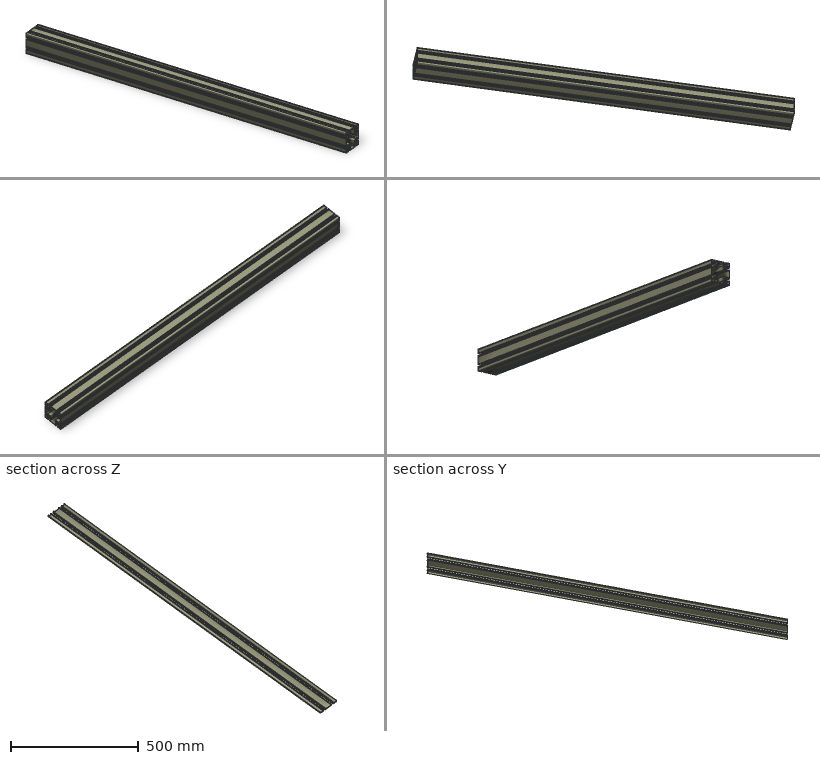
import cadquery as cq

LENGTH = 1500.0
SIDE = 90.0
HALF = SIDE / 2
OUTER_RADIUS = 2.5
WALL = 1.4

SLOT_OFFSET = SIDE / 4
SLOT_OPENING = 8.2
LIP_CHAMFER = 0.45
LIP_THICKNESS = 4.45
SLOT_INNER_WIDTH = 15.0
SLOT_DEPTH = 14.0

BORE_DIAMETER = 8.0

CHAMBER_SIZE = 12.1
CHAMBER_RADIUS = 3.5

CAVITY_ARM_WIDTH = SIDE - 2 * (SLOT_OFFSET + SLOT_INNER_WIDTH / 2 + WALL)
CAVITY_SPAN = SIDE - 2 * WALL
CAVITY_RADIUS = 1.5


def extrude_along_x(section):
    """Extrude a YZ section over the full length, centred on the origin."""
    return section.extrude(LENGTH / 2, both=True)


def rectangular_bar(width, height):
    return extrude_along_x(cq.Workplane("YZ").rect(width, height))


def four_corner_points(offset):
    return [(y, z) for y in (-offset, offset) for z in (-offset, offset)]


def outer_bar():
    return rectangular_bar(SIDE, SIDE).edges("|X").fillet(OUTER_RADIUS)


def central_cavity():
    upright = rectangular_bar(CAVITY_ARM_WIDTH, CAVITY_SPAN)
    crosswise = rectangular_bar(CAVITY_SPAN, CAVITY_ARM_WIDTH)
    return upright.union(crosswise).edges("|X").fillet(CAVITY_RADIUS)


def top_slot():
    """T-slot open to +Z, centred on Y = 0, with lips chamfered outside and inside."""
    throat = SLOT_OPENING / 2
    mouth = throat + LIP_CHAMFER
    inner = SLOT_INNER_WIDTH / 2
    half_outline = [
        (mouth, HALF),
        (throat, HALF - LIP_CHAMFER),
        (throat, HALF - LIP_THICKNESS + LIP_CHAMFER),
        (mouth, HALF - LIP_THICKNESS),
        (inner, HALF - LIP_THICKNESS),
        (inner, HALF - SLOT_DEPTH),
    ]
    mirrored_half = [(-y, z) for y, z in reversed(half_outline)]
    return extrude_along_x(cq.Workplane("YZ").polyline(half_outline + mirrored_half).close())


def cut_slots(body):
    slot = top_slot()
    for angle in (0, 90, 180, 270):
        for offset in (-SLOT_OFFSET, SLOT_OFFSET):
            placed_slot = slot.translate((0, offset, 0)).rotate((0, 0, 0), (1, 0, 0), angle)
            body = body.cut(placed_slot)
    return body


def corner_chambers():
    offset = HALF - WALL - CHAMBER_SIZE / 2
    section = cq.Workplane("YZ").pushPoints(four_corner_points(offset)).rect(CHAMBER_SIZE, CHAMBER_SIZE)
    return extrude_along_x(section).edges("|X").fillet(CHAMBER_RADIUS)


def core_bores():
    section = cq.Workplane("YZ").pushPoints(four_corner_points(SLOT_OFFSET)).circle(BORE_DIAMETER / 2)
    return extrude_along_x(section)


result = cut_slots(outer_bar().cut(central_cavity()))
result = result.cut(corner_chambers()).cut(core_bores())